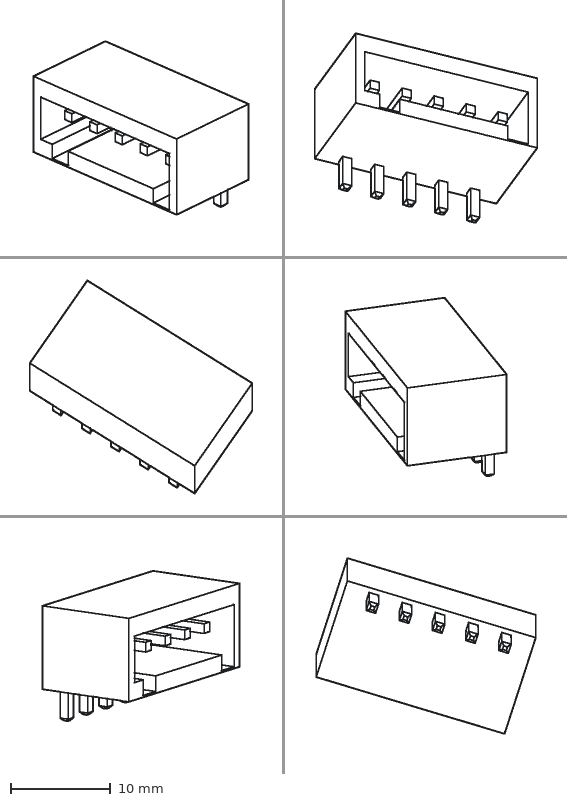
import cadquery as cq

length = 19.8
depth = 10.5
overall_height = 12.2
leg_length = 3.62
height = overall_height - leg_length

side_wall = 1.0
thick_wall = 2.0
ledge_height = 1.8
slot_floor = 0.2
slot_width = 2.2
left_slot_inset = 1.58

pin_count = 5
pin_pitch = 3.48
pin_size = 0.99
pin_height = 4.3
contact_setback = 2.0
leg_rear_gap = 0.5
tip_chamfer = 0.3

cavity_depth = depth - thick_wall
cavity_left = -length / 2 + side_wall
cavity_right = length / 2 - side_wall
cavity_top = height - thick_wall


def pocket(left, right, bottom):
    """Block from the open face to the rear wall, reaching up to the cavity top."""
    return cq.Workplane("XY").box(
        right - left, cavity_depth, cavity_top - bottom, centered=False
    ).translate((left, 0, bottom))


def make_housing():
    housing = cq.Workplane("XY").box(length, depth, height, centered=(True, False, False))
    left_slot_start = cavity_left + left_slot_inset
    housing = housing.cut(pocket(cavity_left, cavity_right, ledge_height))
    housing = housing.cut(pocket(left_slot_start, left_slot_start + slot_width, slot_floor))
    return housing.cut(pocket(cavity_right - slot_width, cavity_right, slot_floor))


def make_pin(x):
    """L-shaped pin: a horizontal contact joined to a leg with a chamfered tip."""
    leg_rear = depth - leg_rear_gap
    pin_top = pin_height + pin_size / 2
    contact = cq.Workplane("XY").box(
        pin_size, leg_rear - contact_setback, pin_size, centered=(True, False, True)
    ).translate((x, contact_setback, pin_height))
    leg = cq.Workplane("XY").box(
        pin_size, pin_size, pin_top + leg_length, centered=(True, False, False)
    ).translate((x, leg_rear - pin_size, -leg_length))
    return contact.union(leg.faces("<Z").chamfer(tip_chamfer))


result = make_housing()
for index in range(pin_count):
    result = result.union(make_pin((index - (pin_count - 1) / 2) * pin_pitch))